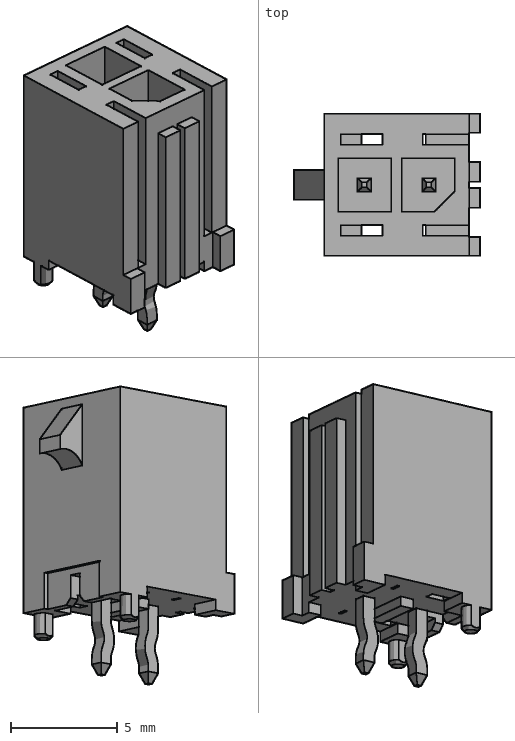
import cadquery as cq
import math


block_length = 6.83
block_width = 6.7
block_top = 9.89
half_length = block_length / 2
half_width = block_width / 2
floor_z = 1.91

flange_x = 3.93
flange_inner_y = 2.45
rib_top = 8.74
rib_inner_y = 0.15
rib_outer_y = 1.09

latch_tip_x = -4.83
latch_width = 1.41
latch_top_z = 9.43
latch_tip_top_z = 7.75
latch_tip_bottom_z = 7.07
latch_root_z = 6.48
latch_arc_x = -3.93
latch_arc_z = 7.01

pin_pitch = 3.04
cavity_length = 2.49
cavity_width = 2.52
cavity_wall = 0.5
key_chamfer = 0.95

slot_inner_y = 1.9
slot_width = 0.48
left_slot_x = (-2.62, -0.67)
left_window_x = (-1.65, -0.67)
right_slot_x = (1.23, half_length)
right_window_x = (1.23, 1.36)

standoff = 0.51
left_foot_x = -1.7
right_foot_x = 2.72
recess_half_width = 1.9
recess_depth = 0.21
recess_top = 1.73
wall_back_x = -2.74
pad_length = 0.71
pad_width = 2.52
pad_bottom = 0.04

pin_size = 0.64
pin_top = 8.32
pin_tip_length = 0.51
pin_tip_size = 0.24
pin_bottom = block_top - 13.1
pin_slot_top = 1.4
pin_slot_chamfer = 0.3
bend_start_z = -0.6
bend_radius = 1.01
bend_angle = math.radians(22)
bend_straight = 0.17

peg_x = -2.48
peg_radius = 0.45
peg_half_flats = 0.38
peg_length = 1.17
peg_chamfer_height = 0.17
peg_chamfer = 0.15


def box(x_range, y_range, z_range):
    """Box between the given limits along each axis."""
    size = [high - low for low, high in (x_range, y_range, z_range)]
    corner = (x_range[0], y_range[0], z_range[0])
    return cq.Workplane("XY").box(*size, centered=False).translate(corner)


def y_mirrored_boxes(x_range, y_range, z_range):
    """The same box on the +Y and -Y sides."""
    first = box(x_range, y_range, z_range)
    return first.union(first.mirror("XZ"))


def make_latch():
    """Ramped latch nose with a hollow underside."""
    return (
        cq.Workplane("XZ")
        .moveTo(-half_length, latch_root_z)
        .lineTo(-half_length, latch_top_z)
        .lineTo(latch_tip_x, latch_tip_top_z)
        .lineTo(latch_tip_x, latch_tip_bottom_z)
        .threePointArc((latch_arc_x, latch_arc_z), (-half_length, latch_root_z))
        .close()
        .extrude(latch_width / 2, both=True)
    )


def make_pin_cavities():
    """Two square wells, the +X one with a polarising corner."""
    depth = block_top - floor_z
    offset = (cavity_length + cavity_wall) / 2
    wells = []
    for x in (-offset, offset):
        well = cq.Workplane("XY").box(cavity_length, cavity_width, depth, centered=(True, True, False))
        wells.append(well.translate((x, 0, floor_z)))
    plain_well, keyed_well = wells
    keyed_well = keyed_well.edges("|Z and >X and <Y").chamfer(key_chamfer)
    return plain_well.union(keyed_well)


def make_wall_slots():
    """Slots beside the cavities, each with a floor and a window through to the underside."""
    y_range = (slot_inner_y, slot_inner_y + slot_width)
    slots = cq.Workplane("XY")
    for slot_x, window_x in ((left_slot_x, left_window_x), (right_slot_x, right_window_x)):
        slots = slots.union(y_mirrored_boxes(slot_x, y_range, (floor_z, block_top)))
        slots = slots.union(y_mirrored_boxes(window_x, y_range, (0, block_top)))
    return slots


def make_underside_clearance():
    """Space under the block between the feet and behind the thin left wall."""
    across = box((left_foot_x, right_foot_x), (-half_width, half_width), (0, standoff))
    along = box((wall_back_x, flange_x), (-recess_half_width, recess_half_width), (0, standoff))
    return across.union(along)


def make_pin_slot():
    """Slot from the -X face to the first pin, with a flared mouth at the bottom."""
    half_slot = pin_size / 2
    half_mouth = half_slot + pin_slot_chamfer
    return (
        cq.Workplane("YZ", origin=(-half_length, 0, 0))
        .moveTo(-half_mouth, 0)
        .lineTo(-half_slot, pin_slot_chamfer)
        .lineTo(-half_slot, pin_slot_top)
        .lineTo(half_slot, pin_slot_top)
        .lineTo(half_slot, pin_slot_chamfer)
        .lineTo(half_mouth, 0)
        .close()
        .extrude(half_length - pin_pitch / 2)
    )


def make_peg(y):
    """Round peg with a tapered end and two flats facing -Y and +Y."""
    straight_length = peg_length - peg_chamfer_height
    profile = (
        cq.Workplane("XZ")
        .lineTo(peg_radius, 0)
        .lineTo(peg_radius, -straight_length)
        .lineTo(peg_radius - peg_chamfer, -peg_length)
        .lineTo(0, -peg_length)
        .close()
    )
    peg = profile.revolve(360, (0, 0, 0), (0, 1, 0))
    flats = box((-peg_radius, peg_radius), (-peg_half_flats, peg_half_flats), (-peg_length, 0))
    return peg.intersect(flats).translate((peg_x, y, 0))


def make_housing():
    """Housing with flange, ribs, latch, pegs and all its openings."""
    housing = box((-half_length, half_length), (-half_width, half_width), (0, block_top))
    flange_x_range = (half_length, flange_x)
    housing = housing.union(y_mirrored_boxes(flange_x_range, (flange_inner_y, half_width), (0, floor_z)))
    housing = housing.union(y_mirrored_boxes(flange_x_range, (rib_inner_y, rib_outer_y), (standoff, rib_top)))
    housing = housing.union(make_latch())

    housing = housing.cut(make_pin_cavities()).cut(make_wall_slots()).cut(make_underside_clearance())
    recess_x_range = (-half_length, -half_length + recess_depth)
    recess_y_range = (-recess_half_width, recess_half_width)
    housing = housing.cut(box(recess_x_range, recess_y_range, (0, recess_top)))
    housing = housing.cut(make_pin_slot())

    pad_x_range = (-pad_length / 2, pad_length / 2)
    pad_y_range = (-pad_width / 2, pad_width / 2)
    housing = housing.union(box(pad_x_range, pad_y_range, (pad_bottom, standoff)))
    peg_y = half_width - peg_half_flats
    for y in (-peg_y, peg_y):
        housing = housing.union(make_peg(y))

    for x in (-pin_pitch / 2, pin_pitch / 2):
        half_pin = pin_size / 2
        housing = housing.cut(box((x - half_pin, x + half_pin), (-half_pin, half_pin), (0, floor_z)))
    return housing


def make_pin_tip(base_z, end_z):
    """Tapered square end from the pin section to its small end face."""
    return (
        cq.Workplane("XY", origin=(0, 0, base_z))
        .rect(pin_size, pin_size)
        .workplane(offset=end_z - base_z)
        .rect(pin_tip_size, pin_tip_size)
        .loft()
    )


def arc_offset(angle):
    """Sideways and lengthwise travel of a centreline arc that starts or ends vertical."""
    return bend_radius * (1 - math.cos(angle)), bend_radius * math.sin(angle)


def make_pin():
    """Square pin on the Z axis whose tail has a kink toward +X."""
    upper_z = pin_top - pin_tip_length
    lower_z = pin_bottom + pin_tip_length

    arc_x, arc_z = arc_offset(bend_angle)
    upper_middle_x, upper_middle_z = arc_offset(bend_angle / 2)
    crest_x = 2 * arc_x + bend_straight * math.sin(bend_angle)
    crest_z = bend_start_z - 2 * arc_z - bend_straight * math.cos(bend_angle)

    return_angle = math.acos(1 - crest_x / (2 * bend_radius))
    return_x, return_z = arc_offset(return_angle)
    lower_middle_x, lower_middle_z = arc_offset(return_angle / 2)
    bend_end_z = crest_z - 2 * return_z

    path = (
        cq.Workplane("XZ")
        .moveTo(0, upper_z)
        .lineTo(0, bend_start_z)
        .threePointArc((upper_middle_x, bend_start_z - upper_middle_z), (arc_x, bend_start_z - arc_z))
        .lineTo(crest_x - arc_x, crest_z + arc_z)
        .threePointArc((crest_x, crest_z), (crest_x - return_x, crest_z - return_z))
        .threePointArc((lower_middle_x, bend_end_z + lower_middle_z), (0, bend_end_z))
        .lineTo(0, lower_z)
    )
    shank = cq.Workplane("XY", origin=(0, 0, upper_z)).rect(pin_size, pin_size).sweep(path)
    return shank.union(make_pin_tip(upper_z, pin_top)).union(make_pin_tip(lower_z, pin_bottom))


housing = make_housing()

pins = []
for x, turn in ((-pin_pitch / 2, 0), (pin_pitch / 2, 180)):
    pin = make_pin().rotate((0, 0, 0), (0, 0, 1), turn).translate((x, 0, 0))
    pins.extend(pin.solids().vals())

result = cq.Compound.makeCompound([*housing.solids().vals(), *pins])